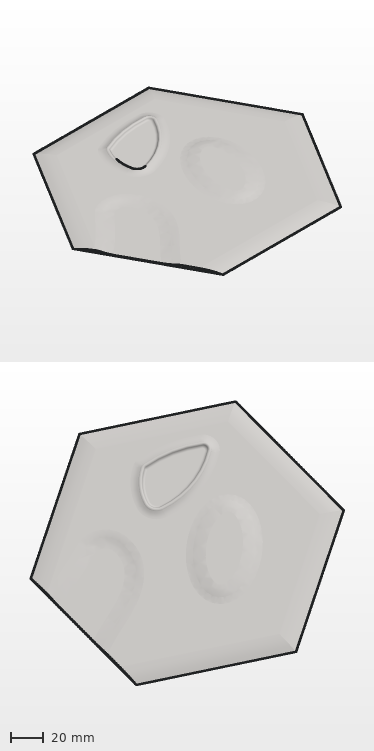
import math
import cadquery as cq

HEX_RADIUS = 97.0
HEX_APOTHEM = HEX_RADIUS * math.cos(math.pi / 6)
CUT_Y = -86.0
PLATE_TOP = 2.0
EDGE_WIDTH = 12.8
RIM_TOP = 3.5
CROWNED_SIDE_ANGLES = (-30, 30, 90, 150, 210)
REACH = 2 * HEX_RADIUS

OVAL_CENTER = (18.8, 13.0)
OVAL_SEMI_MAJOR = 31.8
OVAL_SEMI_MINOR = 18.8
OVAL_TILT = -49.5
OVAL_FOOT = 4.3
OVAL_SHOULDER = 7.8

EGG_CORNERS = ((-37.6, 47.5, 4.0), (-33.2, 4.8, 7.2), (-50.5, 14.0, 3.5))
EGG_SIDE_RADII = (56.3, 31.0, 77.5)
RIM_FOOT = 4.8
RIM_HALF_WIDTH = 1.2
RIM_INNER_FOOT = 1.7
RIM_OUTER_SHOULDER_Z = 3.1
RIM_INNER_SHOULDER_Z = 3.0

CHANNEL_FLOOR = 0.8
CHANNEL_LIP = 4.8
CHANNEL_BED = 7.0
CHANNEL_BANK = (
    (-29.0, -89.2), (-31.2, -74.5), (-38.2, -51.5), (-39.8, -44.0), (-32.8, -32.0),
    (-24.2, -29.9), (-12.2, -32.5), (1.4, -46.0), (8.7, -63.8), (18.0, -89.2),
)


def arc_middle(flat, end):
    """Middle of the (offset, height) arc that leaves the point flat horizontally and reaches end."""
    run = end[0] - flat[0]
    rise = end[1] - flat[1]
    radius = (run**2 + rise**2) / (2 * abs(rise))
    half_angle = math.asin(abs(run) / radius) / 2
    return (
        flat[0] + math.copysign(radius * math.sin(half_angle), run),
        flat[1] + math.copysign(radius * (1 - math.cos(half_angle)), rise),
    )


def section_plane(path):
    """Plane across the path start: local x points to the right of travel, local y points up."""
    tangent = path.tangentAt(0)
    right = tangent.cross(cq.Vector(0, 0, 1))
    return cq.Plane(origin=path.startPoint(), xDir=right, normal=tangent * -1)


def sweep_section(section, path):
    return section.sweep(cq.Workplane(obj=path), transition="right")


def crowned_plate():
    inner = HEX_APOTHEM - EDGE_WIDTH
    crown_start = (inner, PLATE_TOP)
    crown_end = (HEX_APOTHEM, 0)
    side_slab = (
        cq.Workplane("XZ")
        .moveTo(-REACH, 0)
        .lineTo(*crown_end)
        .threePointArc(arc_middle(crown_start, crown_end), crown_start)
        .lineTo(-REACH, PLATE_TOP)
        .close()
        .extrude(REACH, both=True)
    )
    plate = cq.Workplane().box(2 * REACH, REACH, PLATE_TOP, centered=(True, False, False))
    plate = plate.translate((0, CUT_Y, 0))
    for angle in CROWNED_SIDE_ANGLES:
        plate = plate.intersect(side_slab.rotate((0, 0, 0), (0, 0, 1), angle))
    return plate


def oval_hill():
    rise = RIM_TOP - PLATE_TOP
    shoulder = (0, PLATE_TOP + rise * OVAL_FOOT / (OVAL_FOOT + OVAL_SHOULDER))
    foot = (OVAL_FOOT, PLATE_TOP)
    crown = (-OVAL_SHOULDER, RIM_TOP)
    outline = cq.Workplane().ellipse(OVAL_SEMI_MAJOR, OVAL_SEMI_MINOR).val()
    slope = sweep_section(
        cq.Workplane(section_plane(outline))
        .moveTo(-OVAL_SHOULDER, 0)
        .lineTo(OVAL_FOOT, 0)
        .lineTo(*foot)
        .threePointArc(arc_middle(foot, shoulder), shoulder)
        .threePointArc(arc_middle(crown, shoulder), crown)
        .close(),
        outline,
    )
    crown_edge = cq.Wire.assembleEdges(slope.edges(">Z").vals())
    core = cq.Solid.extrudeLinear(crown_edge, [], cq.Vector(0, 0, -RIM_TOP))
    hill = slope.union(cq.Workplane(obj=core)).rotate((0, 0, 0), (0, 0, 1), OVAL_TILT)
    return hill.translate((*OVAL_CENTER, 0))


def side_center(first, second, radius):
    """Center of the circle of the given radius that encloses and touches both corner circles."""
    dx = second[0] - first[0]
    dy = second[1] - first[1]
    span = math.hypot(dx, dy)
    reach_first = radius - first[2]
    reach_second = radius - second[2]
    along = (reach_first**2 - reach_second**2 + span**2) / (2 * span)
    across = math.sqrt(reach_first**2 - along**2)
    return (first[0] + (along * dx + across * dy) / span, first[1] + (along * dy - across * dx) / span)


def toward(center, target, distance):
    length = math.hypot(target[0] - center[0], target[1] - center[1])
    return tuple(center[i] + (target[i] - center[i]) * distance / length for i in (0, 1))


def egg_crest():
    count = len(EGG_CORNERS)
    centers = [
        side_center(EGG_CORNERS[i], EGG_CORNERS[(i + 1) % count], EGG_SIDE_RADII[i])
        for i in range(count)
    ]
    first_touch = toward(centers[0], EGG_CORNERS[0], EGG_SIDE_RADII[0])
    crest = cq.Workplane().moveTo(*first_touch)
    for i in range(count):
        corner = EGG_CORNERS[(i + 1) % count]
        next_side = (i + 1) % count
        side_end = toward(centers[i], corner, EGG_SIDE_RADII[i])
        corner_end = toward(centers[next_side], corner, EGG_SIDE_RADII[next_side])
        crest = crest.radiusArc(side_end, EGG_SIDE_RADII[i]).radiusArc(corner_end, corner[2])
    return crest.wire().val()


def egg_rim():
    crest = egg_crest()
    foot = (-RIM_HALF_WIDTH - RIM_FOOT, PLATE_TOP)
    outer_shoulder = (-RIM_HALF_WIDTH, RIM_OUTER_SHOULDER_Z)
    top = (0, RIM_TOP)
    inner_shoulder = (RIM_HALF_WIDTH, RIM_INNER_SHOULDER_Z)
    inner_foot = (RIM_HALF_WIDTH + RIM_INNER_FOOT, PLATE_TOP)
    return sweep_section(
        cq.Workplane(section_plane(crest))
        .moveTo(foot[0], 0)
        .lineTo(*foot)
        .threePointArc(arc_middle(foot, outer_shoulder), outer_shoulder)
        .threePointArc(arc_middle(top, outer_shoulder), top)
        .threePointArc(arc_middle(top, inner_shoulder), inner_shoulder)
        .threePointArc(arc_middle(inner_foot, inner_shoulder), inner_foot)
        .lineTo(inner_foot[0], 0)
        .close(),
        crest,
    )


def channel():
    bank = cq.Workplane().spline(CHANNEL_BANK).val()
    fall = PLATE_TOP - CHANNEL_FLOOR
    lip = (-CHANNEL_LIP, PLATE_TOP)
    middle = (0, PLATE_TOP - fall * CHANNEL_LIP / (CHANNEL_LIP + CHANNEL_BED))
    bed = (CHANNEL_BED, CHANNEL_FLOOR)
    slope = sweep_section(
        cq.Workplane(section_plane(bank))
        .moveTo(*lip)
        .threePointArc(arc_middle(lip, middle), middle)
        .threePointArc(arc_middle(bed, middle), bed)
        .lineTo(CHANNEL_BED, RIM_TOP)
        .lineTo(-CHANNEL_LIP, RIM_TOP)
        .close(),
        bank,
    )
    bed_edge = slope.edges("<Z").val()
    mouth = cq.Edge.makeLine(bed_edge.endPoint(), bed_edge.startPoint())
    bed_outline = cq.Wire.assembleEdges([bed_edge, mouth])
    bed_space = cq.Solid.extrudeLinear(bed_outline, [], cq.Vector(0, 0, RIM_TOP - CHANNEL_FLOOR))
    return slope.union(cq.Workplane(obj=bed_space))


result = crowned_plate().union(oval_hill()).union(egg_rim()).cut(channel())